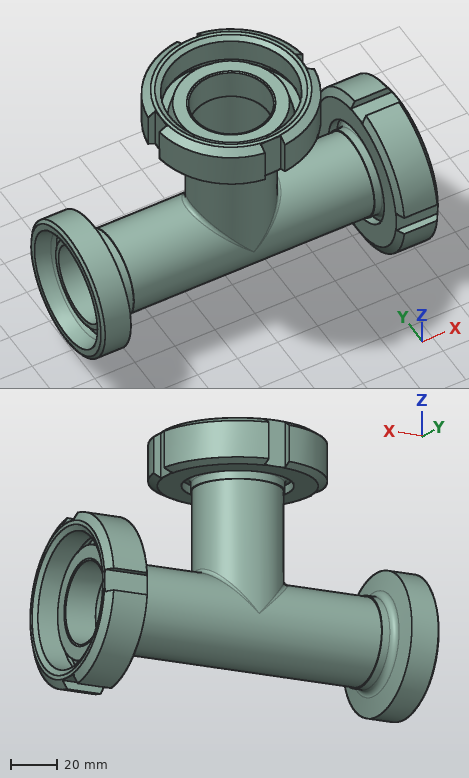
import cadquery as cq
import math


leg_length = 60.1
tube_radius = 40.0 / 2
bore_radius = 37.0 / 2
crotch_fillet = 2.0

neck_radius = 41.0 / 2
neck_length = 3.7
neck_fillet = 3.0
fillet_end_height = neck_length + neck_fillet
seat_angle = 15
seat_slope = math.tan(math.radians(seat_angle))

male_length = 22.4
male_radius = 65.0 / 2
male_rim_length = 14.1
male_chamfer_axial = 1.2
male_chamfer_radial = 1.7
seal_floor_radius = 51.8 / 2
seat_depth = 7.0
seal_floor_depth = 10.0
seal_lip_radius = 42.0 / 2
seal_lip_height = 3.2

liner_length = 15.0
liner_shoulder = fillet_end_height
liner_tip_radius = 25.4
liner_mouth_chamfer_radial = 0.8
liner_mouth_chamfer_axial = 0.3

nut_radius = 39.0
nut_front = 23.4
nut_back = 2.5
nut_end_radius = 35.0
nut_front_chamfer = 2.5
nut_back_chamfer = 2.0
nut_hole_radius = 49.0 / 2
thread_radius = 61.3 / 2
thread_mouth_radius = 33.2
thread_mouth_chamfer = 1.5
relief_radius = 65.4 / 2
relief_length = 4.0
slot_count = 4
slot_width = 10.0
slot_floor = 35.0


def turn(outline):
    """Revolve a closed outline, drawn as (radius, height), about the Z axis."""
    return outline.close().revolve(360, (0, 0, 0), (0, 1, 0))


def cylinder_along(radius, start, end, plane):
    return cq.Workplane(plane).workplane(offset=start).circle(radius).extrude(end - start)


def make_tee():
    run = cylinder_along(tube_radius, -leg_length, leg_length, "YZ")
    run = run.rotate((0, 0, 0), (1, 0, 0), -90)
    branch = cylinder_along(tube_radius, 0, leg_length, "XY")
    mitres = run.union(branch).edges("%ELLIPSE")
    body = mitres.fillet(crotch_fillet)
    body = body.cut(cylinder_along(bore_radius, -leg_length, leg_length, "YZ"))
    return body.cut(cylinder_along(bore_radius, 0, leg_length, "XY"))


def neck_outline():
    """Start an outline at the joint and lead it along the neck to the end of its fillet."""
    fillet_end_radius = neck_radius + neck_fillet
    fillet_middle = (
        fillet_end_radius - neck_fillet * math.sqrt(0.5),
        neck_length + neck_fillet * math.sqrt(0.5),
    )
    return (
        cq.Workplane("XZ")
        .moveTo(bore_radius, 0)
        .lineTo(neck_radius, 0)
        .lineTo(neck_radius, neck_length)
        .threePointArc(fillet_middle, (fillet_end_radius, fillet_end_height))
    )


def make_male_end():
    seal_floor = male_length - seal_floor_depth
    lip_top = seal_floor + seal_lip_height
    outline = (
        neck_outline()
        .lineTo(male_radius, male_length - male_rim_length)
        .lineTo(male_radius, male_length - male_chamfer_axial)
        .lineTo(male_radius - male_chamfer_radial, male_length)
        .lineTo(seal_floor_radius + seat_depth * seat_slope, male_length)
        .lineTo(seal_floor_radius, male_length - seat_depth)
        .lineTo(seal_floor_radius, seal_floor)
        .lineTo(seal_lip_radius, seal_floor)
        .lineTo(seal_lip_radius, lip_top)
        .lineTo(bore_radius, lip_top)
    )
    return turn(outline)


def make_liner():
    base_radius = liner_tip_radius + (liner_length - liner_shoulder) * seat_slope
    outline = (
        neck_outline()
        .lineTo(base_radius, liner_shoulder)
        .lineTo(liner_tip_radius, liner_length)
        .lineTo(bore_radius + liner_mouth_chamfer_radial, liner_length)
        .lineTo(bore_radius, liner_length - liner_mouth_chamfer_axial)
    )
    return turn(outline)


def make_nut():
    relief_end = liner_shoulder + relief_length
    outline = (
        cq.Workplane("XZ")
        .moveTo(nut_hole_radius, nut_back)
        .lineTo(nut_end_radius, nut_back)
        .lineTo(nut_radius, nut_back + nut_back_chamfer)
        .lineTo(nut_radius, nut_front - nut_front_chamfer)
        .lineTo(nut_end_radius, nut_front)
        .lineTo(thread_mouth_radius, nut_front)
        .lineTo(thread_radius, nut_front - thread_mouth_chamfer)
        .lineTo(thread_radius, relief_end)
        .lineTo(relief_radius, relief_end)
        .lineTo(relief_radius, liner_shoulder)
        .lineTo(nut_hole_radius, liner_shoulder)
    )
    slots = (
        cq.Workplane("XY")
        .workplane(offset=nut_back)
        .polarArray(slot_floor + nut_radius / 2, 0, 360, slot_count)
        .rect(nut_radius, slot_width)
        .extrude(nut_front - nut_back)
    )
    return turn(outline).cut(slots)


def on_branch(fitting):
    return fitting.translate((0, 0, leg_length))


def on_run(fitting, side):
    """Place a fitting on the run, at +X for side 1 and at -X for side -1."""
    return fitting.rotate((0, 0, 0), (0, 1, 0), side * 90).translate((side * leg_length, 0, 0))


tee = make_tee()
male_end = on_run(make_male_end(), -1)

union_parts = []
for make_part in (make_liner, make_nut):
    union_parts.append(on_branch(make_part()))
    union_parts.append(on_run(make_part(), 1))

result = cq.Compound.makeCompound([tee.val(), male_end.val(), *[part.val() for part in union_parts]])